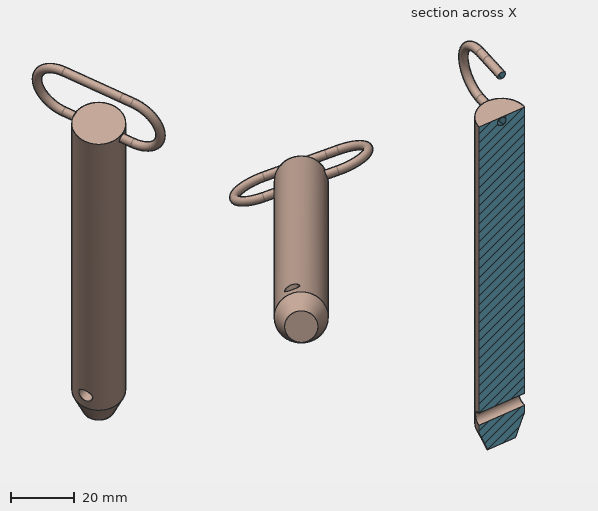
import cadquery as cq
import math

PIN_DIAMETER = 17.0
PIN_LENGTH = 142.0
TAPER_LENGTH = 9.0
TAPER_ANGLE = 20.0
CROSS_HOLE_DIAMETER = 5.0
CROSS_HOLE_HEIGHT = 15.0

WIRE_DIAMETER = 3.0
BEND_RADIUS = 10.0
STRAIGHT_LENGTH = 25.0
WIRE_DEPTH = 2.0
JOINT_FROM_BEND = 4.0

PIN_RADIUS = PIN_DIAMETER / 2
TIP_RADIUS = PIN_RADIUS - TAPER_LENGTH * math.tan(math.radians(TAPER_ANGLE))

BEND_X = STRAIGHT_LENGTH / 2
LOWER_WIRE_Z = PIN_LENGTH - WIRE_DEPTH
MIDDLE_WIRE_Z = LOWER_WIRE_Z + BEND_RADIUS
UPPER_WIRE_Z = MIDDLE_WIRE_Z + BEND_RADIUS
JOINT_X = BEND_X - JOINT_FROM_BEND


def make_pin():
    """Tapered pin with a cross hole along Y and a hole along X for the ring."""
    body = (
        cq.Workplane("XZ")
        .lineTo(TIP_RADIUS, 0)
        .lineTo(PIN_RADIUS, TAPER_LENGTH)
        .lineTo(PIN_RADIUS, PIN_LENGTH)
        .lineTo(0, PIN_LENGTH)
        .close()
        .revolve(360, (0, 0), (0, 1))
    )
    cross_hole = (
        cq.Workplane("XZ")
        .center(0, CROSS_HOLE_HEIGHT)
        .circle(CROSS_HOLE_DIAMETER / 2)
        .extrude(PIN_RADIUS, both=True)
    )
    ring_hole = (
        cq.Workplane("YZ")
        .center(0, LOWER_WIRE_Z)
        .circle(WIRE_DIAMETER / 2)
        .extrude(PIN_RADIUS, both=True)
    )
    return body.cut(cross_hole).cut(ring_hole)


def make_ring():
    """Round wire swept along a stadium loop that starts and ends at the wire joint."""
    loop = (
        cq.Workplane("XZ")
        .moveTo(JOINT_X, UPPER_WIRE_Z)
        .lineTo(BEND_X, UPPER_WIRE_Z)
        .threePointArc((BEND_X + BEND_RADIUS, MIDDLE_WIRE_Z), (BEND_X, LOWER_WIRE_Z))
        .lineTo(-BEND_X, LOWER_WIRE_Z)
        .threePointArc((-BEND_X - BEND_RADIUS, MIDDLE_WIRE_Z), (-BEND_X, UPPER_WIRE_Z))
        .close()
    )
    wire_section = (
        cq.Workplane("YZ", origin=(JOINT_X, 0, UPPER_WIRE_Z))
        .circle(WIRE_DIAMETER / 2)
    )
    return wire_section.sweep(loop, clean=False)


pin = make_pin()
ring = make_ring()

result = cq.Compound.makeCompound([pin.solids().val(), ring.val()])